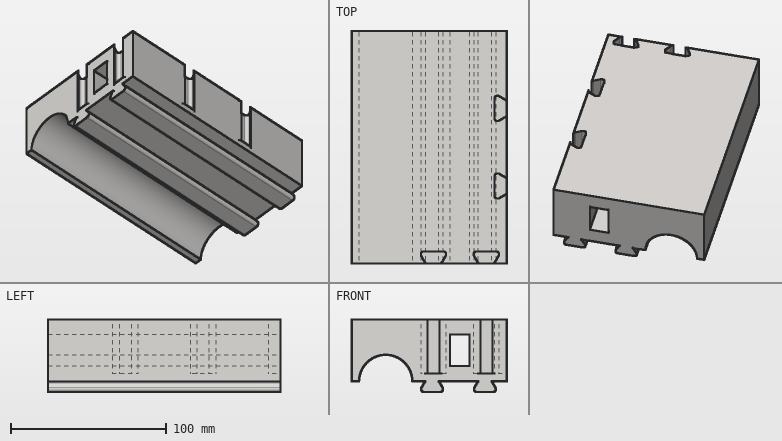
import cadquery as cq
import math

width = 100.0
length = 150.0
total_height = 47.0
foot_drop = 6.9
height = total_height - foot_drop

channel_radius = 17.1
channel_x = 21.9
window_width = 12.5
window_height = 20.1
window_x = 69.6

flank_angle = math.radians(60)
wide_radius = 2.0

groove_width = 16.4
groove_depth = 8.0
groove_mouth_radius = 2.0
groove_floor = 5.3
front_groove_x = (52.7, 86.7)
side_groove_y = (length / 3, 2 * length / 3)

foot_width = 14.3
foot_depth = 7.5
foot_neck_radius = 3.0
foot_x = (51.8, 85.8)


def dovetail(plane, over_width, depth, narrow_radius, extent):
    """Rounded dovetail, narrow end at local y = 0 and wide end at y = depth."""
    wide_center = over_width / 2 - wide_radius
    flank_run = 1 / math.tan(flank_angle)
    wide_half = wide_center + wide_radius / math.tan(flank_angle / 2)
    narrow_half = wide_half - depth * flank_run
    outline = [
        (-narrow_half, 0),
        (narrow_half, 0),
        (wide_half, depth),
        (-wide_half, depth),
    ]
    prism = cq.Workplane(plane).polyline(outline).close().extrude(extent)
    along = cq.selectors.ParallelDirSelector(plane.zDir)
    narrow_end = cq.selectors.DirectionMinMaxSelector(plane.yDir, directionMax=False)
    wide_end = cq.selectors.DirectionMinMaxSelector(plane.yDir, directionMax=True)
    prism = prism.edges(along).edges(narrow_end).fillet(narrow_radius)
    return prism.edges(along).edges(wide_end).fillet(wide_radius)


def groove(origin, along_face):
    """Upright dovetail groove, open at the top face."""
    plane = cq.Plane(origin=origin, xDir=along_face, normal=(0, 0, 1))
    return dovetail(plane, groove_width, groove_depth, groove_mouth_radius, height - groove_floor)


block = cq.Workplane("XY").box(width, length, height, centered=False)

channel = (
    cq.Workplane("XZ").center(channel_x, 0).circle(channel_radius).extrude(-length)
)
window = (
    cq.Workplane("XZ")
    .center(window_x, height / 2)
    .rect(window_width, window_height)
    .extrude(-length)
)
result = block.cut(channel).cut(window)

for x in front_groove_x:
    result = result.cut(groove((x, 0, groove_floor), (1, 0, 0)))

for y in side_groove_y:
    result = result.cut(groove((width, y, groove_floor), (0, 1, 0)))

for x in foot_x:
    foot_plane = cq.Plane(origin=(x, 0, foot_depth - foot_drop), xDir=(1, 0, 0), normal=(0, 1, 0))
    result = result.union(
        dovetail(foot_plane, foot_width, foot_depth, foot_neck_radius, length)
    )